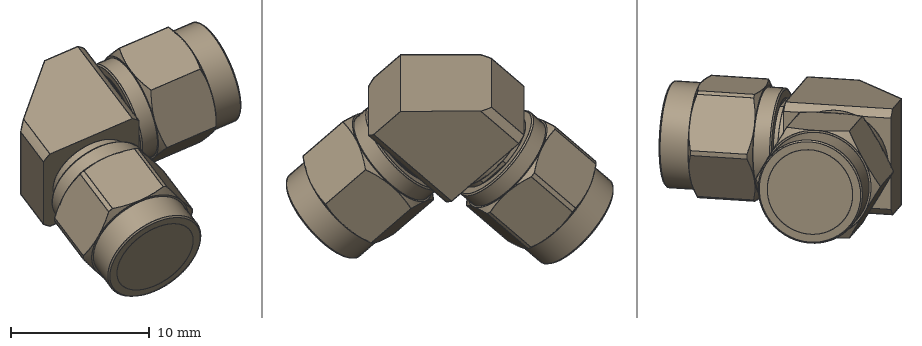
import cadquery as cq
import math


OVERALL_X = 17.86
OVERALL_Y = 17.05

BLOCK_SIDE = 7.93
CORNER_CUT = 4.63
TURNED_RADIUS = 5.23
BOSS_LENGTH = 0.65

NECK_RADIUS = 3.16
NECK_FLAT_WIDTH = 5.9

NUT_LENGTH = 8.3
NUT_RADIUS = 3.85
NUT_CHAMFER = 0.1
HEX_SIDES = 6
HEX_FLATS = 8.0
HEX_LENGTH = 4.79
HEX_OFFSET = 1.32
HEX_CHAMFER_ANGLE = 30.0
BLUNT_RADIUS = 4.52

HALF_BLOCK = BLOCK_SIDE / 2
HEX_CORNER_RADIUS = HEX_FLATS / 2 / math.cos(math.pi / HEX_SIDES)
NUT_END_X = OVERALL_X - HEX_CORNER_RADIUS
NUT_END_Y = OVERALL_Y - BLUNT_RADIUS


def cylinder_x(start, length, radius):
    """Cylinder on the X axis."""
    return cq.Workplane("YZ").workplane(offset=start).circle(radius).extrude(length)


def make_block():
    """Square block with one corner cut off, turned edges along X and a boss on +X."""
    low = -HALF_BLOCK
    block = (
        cq.Workplane("XY")
        .workplane(offset=low)
        .moveTo(low + CORNER_CUT, low)
        .lineTo(HALF_BLOCK, low)
        .lineTo(HALF_BLOCK, HALF_BLOCK)
        .lineTo(low, HALF_BLOCK)
        .lineTo(low, low + CORNER_CUT)
        .close()
        .extrude(BLOCK_SIDE)
    )
    block = block.intersect(cylinder_x(low, BLOCK_SIDE, TURNED_RADIUS))
    return block.union(cylinder_x(HALF_BLOCK, BOSS_LENGTH, NECK_RADIUS))


def make_neck(seat, nut_start, nut_end):
    """Round neck with two wrench flats between its seat and the nut, flush with the nut's free end."""
    round_part = cylinder_x(nut_start, nut_end - nut_start, NECK_RADIUS)
    flat_slab = (
        cq.Workplane("YZ")
        .workplane(offset=seat)
        .rect(2 * NECK_RADIUS, NECK_FLAT_WIDTH)
        .extrude(nut_start - seat)
    )
    flatted_part = cylinder_x(seat, nut_start - seat, NECK_RADIUS).intersect(flat_slab)
    return round_part.union(flatted_part)


def make_hexagon(start, corner_radius):
    """Hexagon with both ends chamfered by cones; corners reach no further than corner_radius."""
    flat_radius = HEX_FLATS / 2
    chamfer_length = (corner_radius - flat_radius) * math.tan(math.radians(HEX_CHAMFER_ANGLE))
    end = start + HEX_LENGTH
    hexagon = (
        cq.Workplane("YZ")
        .workplane(offset=start)
        .polygon(HEX_SIDES, 2 * HEX_CORNER_RADIUS)
        .extrude(HEX_LENGTH)
    )
    turned_envelope = (
        cq.Workplane("XY")
        .moveTo(start, 0)
        .lineTo(start, flat_radius)
        .lineTo(start + chamfer_length, corner_radius)
        .lineTo(end - chamfer_length, corner_radius)
        .lineTo(end, flat_radius)
        .lineTo(end, 0)
        .close()
        .revolve(360, (0, 0, 0), (1, 0, 0))
    )
    return hexagon.intersect(turned_envelope)


def make_nut(start, hex_corner_radius):
    """Chamfered sleeve with a hexagon round it, bored to fit the neck."""
    sleeve = cylinder_x(start, NUT_LENGTH, NUT_RADIUS).edges().chamfer(NUT_CHAMFER)
    hexagon = make_hexagon(start + HEX_OFFSET, hex_corner_radius)
    bore = cylinder_x(start, NUT_LENGTH, NECK_RADIUS)
    return sleeve.union(hexagon).cut(bore)


block = make_block()

connectors = [
    (0, HALF_BLOCK + BOSS_LENGTH, NUT_END_X, BLUNT_RADIUS),
    (90, HALF_BLOCK, NUT_END_Y, HEX_CORNER_RADIUS),
]

necks = []
nuts = []
for turn, neck_seat, nut_end, hex_corner_radius in connectors:
    nut_start = nut_end - NUT_LENGTH
    neck = make_neck(neck_seat, nut_start, nut_end)
    nut = make_nut(nut_start, hex_corner_radius)
    necks.append(neck.rotate((0, 0, 0), (0, 0, 1), turn).val())
    nuts.append(nut.rotate((0, 0, 0), (0, 0, 1), turn).val())

result = cq.Compound.makeCompound([block.val(), *necks, *nuts])